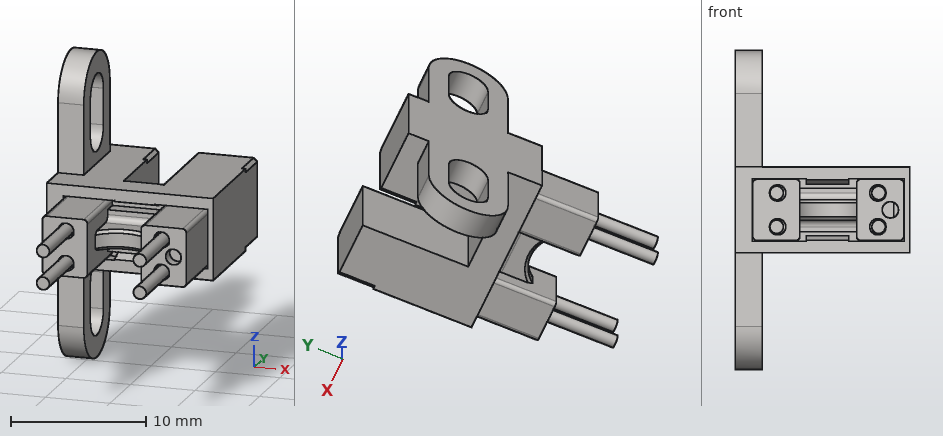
import cadquery as cq


housing_width = 12.9
housing_length = 10.79
housing_height = 6.35
slot_start = 5.26
slot_width = 3.12
slot_depth = 8.52
bevel_size = 0.28
bevel_length = 2.85

flange_height = 23.6
flange_width = 6.4
flange_thickness = 2.0
flange_center_y = 5.95
screw_slot_length = 6.0
screw_slot_width = 3.16
screw_slot_offset = 7.1

pocket_start = 1.27
pocket_width = 11.2
pocket_height = 4.6
pocket_depth = 1.0
pocket_end = pocket_start + pocket_width
ramp_mouth_z = 2.25
ramp_floor_z = 1.9

block_width = 3.5
block_clearance = 0.02
block_height = 4.5
block_length = 5.12
block_fillet = 0.3
left_block_start = pocket_start + block_clearance
left_block_end = left_block_start + block_width
right_block_start = pocket_end - block_clearance - block_width
insert_center_x = pocket_start + pocket_width / 2

ledge_half_height = 1.6
ledge_projection = 0.17
bridge_half_height = 0.75
bridge_fillet = 0.5
arch_radius = 2.6
arch_center_y = -4.75
arch_chamfer = 0.24

pin_diameter = 1.0
pin_z = 1.25
left_pin_x = 3.07
right_pin_x = 10.6
left_pin_tip_y = -10.5
right_pin_tip_y = -10.57
pin_hole_diameter = 1.2
pin_hole_depth = 1.0
left_pin_hole_x = 3.15
right_pin_hole_x = 10.55

marker_x = 11.47
marker_diameter = 1.2
marker_depth = 1.0
marker_step_x = 11.7
marker_step_depth = 0.24


def box(x_range, y_range, z_range):
    """Box between the given limits on each axis."""
    (x0, x1), (y0, y1), (z0, z1) = x_range, y_range, z_range
    return cq.Workplane("XY").box(x1 - x0, y1 - y0, z1 - z0, centered=False).translate((x0, y0, z0))


def rod(x, z, diameter, y_start, y_end):
    """Round bar along Y from y_start up to y_end."""
    plane = cq.Workplane("XZ", origin=(x, y_end, z))
    return plane.circle(diameter / 2).extrude(y_end - y_start)


def symmetric(half_height):
    """Z limits of a shape centred on the plane of symmetry."""
    return (-half_height, half_height)


def make_flange():
    """Upright plate with round ends and two long screw slots."""
    plane = cq.Workplane("YZ", origin=(0, flange_center_y, 0))
    plate = plane.slot2D(flange_height, flange_width, 90).extrude(flange_thickness)
    screw_slots = (
        plane.pushPoints([(0, -screw_slot_offset), (0, screw_slot_offset)])
        .slot2D(screw_slot_length, screw_slot_width, 90)
        .extrude(flange_thickness)
    )
    return plate.cut(screw_slots)


def make_tower_bevel(edge_x, side):
    """Cutter for the bevel on a tower's +X edge, on top (side 1) or below (side -1)."""
    edge_z = side * housing_height / 2
    return (
        cq.Workplane("XZ", origin=(0, housing_length, 0))
        .moveTo(edge_x, edge_z)
        .lineTo(edge_x - bevel_size, edge_z)
        .lineTo(edge_x, edge_z - side * bevel_size)
        .close()
        .extrude(bevel_length)
    )


def make_pocket_ramp(side):
    """Ramp on the pocket's upper (side 1) or lower (side -1) wall, thickest at the floor."""
    wall_z = side * pocket_height / 2
    return (
        cq.Workplane("YZ", origin=(slot_start, 0, 0))
        .moveTo(0, wall_z)
        .lineTo(0, side * ramp_mouth_z)
        .lineTo(pocket_depth, side * ramp_floor_z)
        .lineTo(pocket_depth, wall_z)
        .close()
        .extrude(slot_width)
    )


def make_housing():
    """Two towers on a common back, with the flange and the rear pocket."""
    slot_end = slot_start + slot_width
    body_z = symmetric(housing_height / 2)
    body = box((0, housing_width), (0, housing_length), body_z)
    body = body.cut(box((slot_start, slot_end), (housing_length - slot_depth, housing_length), body_z))
    body = body.union(make_flange())
    body = body.cut(box((pocket_start, pocket_end), (0, pocket_depth), symmetric(pocket_height / 2)))
    for side in (-1, 1):
        body = body.union(make_pocket_ramp(side))
        for edge_x in (slot_start, housing_width):
            body = body.cut(make_tower_bevel(edge_x, side))
    return body


def make_block(start_x):
    """Connector block with rounded long edges, from its rear end to the pocket floor."""
    x_range = (start_x, start_x + block_width)
    block = box(x_range, (-block_length, pocket_depth), symmetric(block_height / 2))
    return block.edges("|Y").fillet(block_fillet)


def make_bridge():
    """Ledge and thin plate between the blocks; the plate ends in a chamfered arch."""
    x_range = (left_block_end - block_fillet, right_block_start + block_fillet)
    ledge = box(x_range, (-ledge_projection, pocket_depth), symmetric(ledge_half_height))
    plate = box(x_range, (arch_center_y, -ledge_projection), symmetric(bridge_half_height))
    bridge = ledge.union(plate)

    for side in (-1, 1):
        corner = (insert_center_x, -ledge_projection, side * bridge_half_height)
        bridge = bridge.edges(cq.NearestToPointSelector(corner)).fillet(bridge_fillet)

    arch_plane = cq.Workplane("XY", origin=(insert_center_x, arch_center_y, -bridge_half_height))
    arch = arch_plane.circle(arch_radius).extrude(2 * bridge_half_height)
    bridge = bridge.cut(arch)
    for side in (-1, 1):
        surface = cq.Workplane("XY", origin=(insert_center_x, arch_center_y, side * bridge_half_height))
        cone = (
            surface.circle(arch_radius + arch_chamfer)
            .workplane(offset=-side * arch_chamfer)
            .circle(arch_radius)
            .loft()
        )
        bridge = bridge.cut(cone)
    return bridge


def make_marker_hole():
    """Blind hole whose floor steps down on the +X side."""
    rear = -block_length
    shallow = rod(marker_x, 0, marker_diameter, rear, rear + marker_depth)
    deep_end = rear + marker_depth + marker_step_depth
    deep = rod(marker_x, 0, marker_diameter, rear, deep_end)
    deep_side = box((marker_step_x, pocket_end), (rear, deep_end), symmetric(marker_diameter))
    return shallow.union(deep.intersect(deep_side))


def make_insert():
    """Two connector blocks joined by the bridge, with pin holes in their rear ends."""
    insert = make_block(left_block_start).union(make_block(right_block_start)).union(make_bridge())
    for hole_x in (left_pin_hole_x, right_pin_hole_x):
        for hole_z in (-pin_z, pin_z):
            hole = rod(hole_x, hole_z, pin_hole_diameter, -block_length, -block_length + pin_hole_depth)
            insert = insert.cut(hole)
    return insert.cut(make_marker_hole())


def make_pin(x, z, tip_y):
    """Contact pin from its tip to the floor of its hole."""
    return rod(x, z, pin_diameter, tip_y, -block_length + pin_hole_depth)


housing = make_housing()
insert = make_insert()
pins = [
    make_pin(x, z, tip_y)
    for x, tip_y in ((left_pin_x, left_pin_tip_y), (right_pin_x, right_pin_tip_y))
    for z in (-pin_z, pin_z)
]

result = cq.Compound.makeCompound([housing.val(), insert.val(), *[pin.val() for pin in pins]])